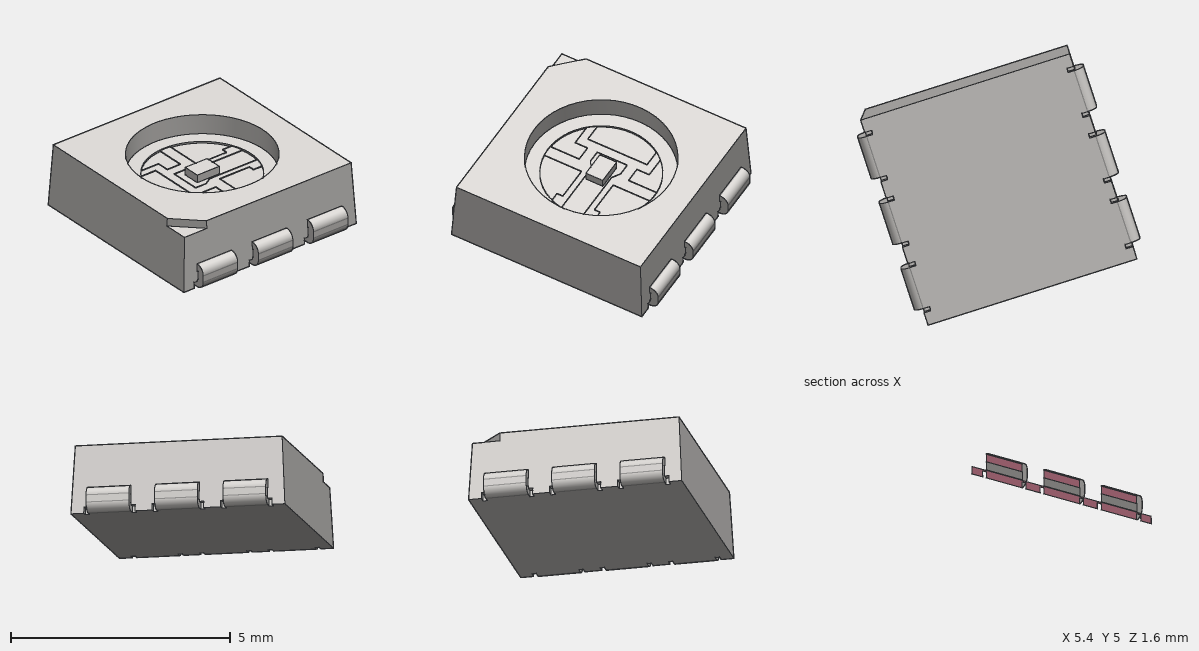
import cadquery as cq
import math

base_side = 5.0
height = 1.6
draft_angle = 3.0
top_side = base_side - 2 * height * math.tan(math.radians(draft_angle))

mark_leg = 0.63
mark_depth = 0.2

cavity_diameter = 3.5
cavity_depth = 0.5
floor_diameter = 2.8
channel_depth = 0.025
pad_depth = 0.02
ledge_z = height - cavity_depth
channel_z = ledge_z - channel_depth
pad_z = channel_z - pad_depth

stem_half_width = 0.27
die_pad_half_width = 0.395
die_pad_flare_y = -0.2
die_pad_bottom_y = -0.5
upper_pad_inner_x = 0.415
upper_pad_step_x = 0.565
upper_pad_bottom_y = 0.18
upper_pad_step_y = 1.035
lower_pad_inner_x = 0.65
lower_pad_step_x = 0.97
lower_pad_top_y = -0.12
bottom_pad_half_width = 0.78
bottom_pad_top_y = -0.74

chip_width = 0.445
chip_length = 0.635
chip_height = 0.2

overall_length = 5.4
lead_pitch = 1.6
lead_positions = (-lead_pitch, 0, lead_pitch)
lead_width = 1.0
lead_height = 0.6
lead_thickness = (overall_length - base_side) / 2
lead_radius = 0.215
lead_embed = 0.16

notch_width = 1.2
notch_height = 0.15
notch_depth = 0.16


def block(x_min, x_max, width, y_center, z_height):
    """Box standing on Z = 0, centred on y_center along Y."""
    return (
        cq.Workplane("XY")
        .box(x_max - x_min, width, z_height, centered=(False, True, False))
        .translate((x_min, y_center, 0))
    )


def make_housing():
    body = cq.Workplane("XY").rect(base_side, base_side).extrude(height, taper=draft_angle)
    reach = base_side / 2
    line_sum = top_side - mark_leg
    mark = (
        cq.Workplane("XY", origin=(0, 0, height - mark_depth))
        .polyline([(reach, line_sum - reach), (line_sum - reach, reach), (reach, reach)])
        .close()
        .extrude(mark_depth)
        .mirror("XZ")
    )
    return body.cut(mark)


def disc(diameter, z_bottom, z_top):
    return cq.Workplane("XY", origin=(0, 0, z_bottom)).circle(diameter / 2).extrude(z_top - z_bottom)


def pad_prism(points):
    return cq.Workplane("XY", origin=(0, 0, pad_z)).polyline(points).close().extrude(pad_depth)


def make_pad_recesses():
    """Pad outlines run past the round floor and are trimmed to it."""
    far = floor_diameter
    right_die_side = [
        (stem_half_width, far),
        (stem_half_width, 0),
        (die_pad_half_width, die_pad_flare_y),
        (die_pad_half_width, die_pad_bottom_y),
    ]
    left_die_side = [(-x, y) for x, y in reversed(right_die_side)]
    die_pad = pad_prism(right_die_side + left_die_side)
    bottom_pad = pad_prism([
        (-bottom_pad_half_width, bottom_pad_top_y),
        (bottom_pad_half_width, bottom_pad_top_y),
        (bottom_pad_half_width, -far),
        (-bottom_pad_half_width, -far),
    ])
    upper_pad = pad_prism([
        (far, upper_pad_bottom_y),
        (upper_pad_inner_x, upper_pad_bottom_y),
        (upper_pad_inner_x, upper_pad_step_y),
        (upper_pad_step_x, upper_pad_step_y),
        (upper_pad_step_x, far),
        (far, far),
    ])
    lower_pad = pad_prism([
        (far, lower_pad_top_y),
        (lower_pad_inner_x, lower_pad_top_y),
        (lower_pad_inner_x, die_pad_bottom_y),
        (lower_pad_step_x, die_pad_bottom_y),
        (lower_pad_step_x, -far),
        (far, -far),
    ])
    pads = die_pad.union(bottom_pad)
    for side_pad in (upper_pad, lower_pad):
        pads = pads.union(side_pad).union(side_pad.mirror("YZ"))
    return pads.intersect(disc(floor_diameter, pad_z, channel_z))


def make_chip():
    return (
        cq.Workplane("XY", origin=(0, 0, pad_z))
        .rect(chip_width, chip_length)
        .extrude(chip_height)
    )


def make_notch(y_center):
    wall_x = base_side / 2
    return block(wall_x - notch_depth, wall_x, notch_width, y_center, notch_height)


def make_lead(y_center):
    """C-shaped strip with rounded outer bends and both arms rooted in the housing wall."""
    outer_x = overall_length / 2
    inner_x = base_side / 2 - lead_embed
    lead = block(inner_x, outer_x, lead_width, y_center, lead_height)
    lead = lead.edges("|Y and >X").fillet(lead_radius)
    gap_height = lead_height - 2 * lead_thickness
    gap = block(inner_x, outer_x - lead_thickness, lead_width, y_center, gap_height)
    return lead.cut(gap.translate((0, 0, lead_thickness)))


result = make_housing()
result = result.cut(disc(cavity_diameter, ledge_z, height))
result = result.cut(disc(floor_diameter, channel_z, ledge_z))
result = result.cut(make_pad_recesses())
result = result.union(make_chip())

for y in lead_positions:
    notch = make_notch(y)
    lead = make_lead(y)
    result = result.cut(notch).cut(notch.mirror("YZ"))
    result = result.union(lead).union(lead.mirror("YZ"))